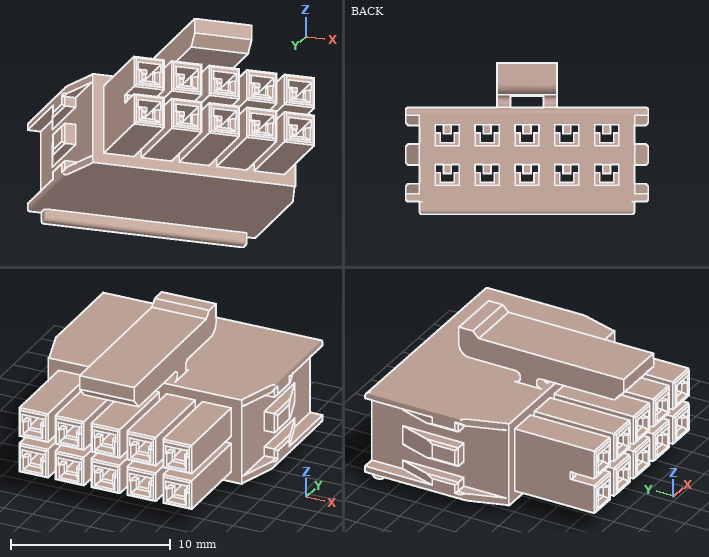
import cadquery as cq
import math


total_width = 15.2
total_length = 15.7
body_width = 13.47
body_length = 9.88
body_height = 5.9
body_front = -body_length
tip_y = -total_length
side_x = body_width / 2
outer_x = total_width / 2

flange_thickness = 0.5
flange_edge_radius = 0.15
back_edge_radius = 0.38
taper_start_y = -6.9
taper_end_y = -9.69
flange_notch_width = 0.1
flange_notch_height = 0.13

rib_root = 0.15
rib_back_y = -2.23
rib_ramp_end_y = -4.84
rib_front_y = -6.64
rib_chamfer = 0.15
middle_rib_height = 1.33
edge_rib_height = 1.13

lip_length = 0.78
lip_height = 0.8
lip_root = 0.31
lip_side_radius = 0.15
lip_bottom_radius = 0.28

columns = 5
rows = 2
pitch = 2.5
tower_size = 2.0
tower_chamfer = 0.11
web_width = 0.5
web_front_y = -13.97

cavity_roof = 0.38
chamber_width = 1.49
chamber_floor = 1.68
shoulder_height = 0.5
mouth_depth = 0.6
mouth_width = 0.86
mouth_floor = 1.49
funnel_depth = 0.25
lance_width = 0.5
lance_front_y = -14.45
lance_length = 3.14
lance_nose_drop = 0.25
lance_ledge = 0.15
lance_hollow_radius = 0.31
lance_hollow_angle = 25
lance_drop = 0.57

latch_width = 3.78
latch_leg_width = 0.86
latch_back_y = -3.53
latch_front_y = -15.4
latch_hook_height = 2.8
latch_beam_top = 2.37
latch_back_underside = 0.8
latch_front_underside = 0.7
latch_heel_radius = 0.75
hook_flat_end_y = -4.54
hook_slope_end_y = -4.96
nose_slope_start_y = -14.73
nose_corner_height = 1.41
leg_back_y = -7.96
leg_front_y = -9.12


def block(x_min, x_max, y_min, y_max, z_min, z_max):
    """Axis-aligned box given by its limits."""
    size = (x_max - x_min, y_max - y_min, z_max - z_min)
    return cq.Workplane("XY").box(*size, centered=False).translate((x_min, y_min, z_min))


def flange_plate(z_min):
    """Plate as wide as the part, tapering to the body width near its front."""
    return (
        cq.Workplane("XY").workplane(offset=z_min)
        .polyline([
            (-outer_x, 0), (outer_x, 0),
            (outer_x, taper_start_y), (side_x, taper_end_y),
            (-side_x, taper_end_y), (-outer_x, taper_start_y),
        ])
        .close()
        .extrude(flange_thickness)
    )


def side_rib(z_min, z_max):
    """Pair of wedges, one on each side, ramping up from the back."""
    right = (
        cq.Workplane("XY").workplane(offset=z_min)
        .polyline([
            (side_x - rib_root, rib_back_y), (side_x, rib_back_y), (outer_x, rib_ramp_end_y),
            (outer_x, rib_front_y), (side_x - rib_root, rib_front_y),
        ])
        .close()
        .extrude(z_max - z_min)
        .faces(">X").edges("|Y or <Y").chamfer(rib_chamfer)
    )
    return right.union(right.mirror("YZ"))


def flange_notch(under_z, edge_z):
    """Pair of cutters that bevel the inner edges of a flange ahead of the ribs."""
    right = (
        cq.Workplane("XZ", origin=(0, rib_front_y + rib_chamfer, 0))
        .polyline([(outer_x - flange_notch_width, under_z), (outer_x, under_z), (outer_x, edge_z)])
        .close()
        .extrude(body_length)
    )
    return right.union(right.mirror("YZ"))


def make_body():
    """Block with side flanges, rounded back top edge and three ribs per side."""
    bottom_flange = flange_plate(0).faces("<Z").edges("|Y").fillet(flange_edge_radius)
    top_flange = (
        flange_plate(body_height - flange_thickness)
        .faces(">Z").edges("|Y").fillet(flange_edge_radius)
    )
    bottom_inner = flange_thickness
    top_inner = body_height - flange_thickness
    bottom_flange = bottom_flange.cut(flange_notch(bottom_inner, bottom_inner - flange_notch_height))
    top_flange = top_flange.cut(flange_notch(top_inner, top_inner + flange_notch_height))

    shell = block(-side_x, side_x, body_front, 0, 0, body_height)
    shell = shell.union(bottom_flange).union(top_flange)
    back_corner = (
        cq.Workplane("YZ").workplane(offset=-outer_x)
        .moveTo(0, body_height)
        .lineTo(-back_edge_radius, body_height)
        .radiusArc((0, body_height - back_edge_radius), back_edge_radius)
        .close()
        .extrude(total_width)
    )
    shell = shell.cut(back_corner)

    middle = body_height / 2
    shell = shell.union(side_rib(middle - middle_rib_height / 2, middle + middle_rib_height / 2))
    shell = shell.union(side_rib(rib_chamfer, edge_rib_height))
    shell = shell.union(side_rib(body_height - edge_rib_height, body_height - rib_chamfer))
    return shell


def make_lip():
    """Rounded bar under the back edge, rooted inside the body."""
    lip = block(-side_x, side_x, -lip_length, 0, -lip_height, lip_root)
    lip = lip.faces("<Z").edges("|X").fillet(lip_bottom_radius)
    return lip.faces("<X or >X").edges().fillet(lip_side_radius)


def make_latch():
    """Lever on two legs; half-round throats shape the front and back of the legs."""
    top = body_height
    front_radius = latch_front_underside / 2
    back_radius = latch_back_underside / 2
    lever = (
        cq.Workplane("YZ").workplane(offset=-latch_width / 2)
        .moveTo(latch_back_y, top + latch_hook_height)
        .lineTo(hook_flat_end_y, top + latch_hook_height)
        .lineTo(hook_slope_end_y, top + latch_beam_top)
        .lineTo(latch_front_y, top + latch_beam_top)
        .lineTo(latch_front_y, top + nose_corner_height)
        .lineTo(nose_slope_start_y, top + latch_front_underside)
        .lineTo(leg_front_y - front_radius, top + latch_front_underside)
        .threePointArc((leg_front_y, top + front_radius), (leg_front_y - front_radius, top))
        .lineTo(leg_back_y + back_radius, top)
        .threePointArc(
            (leg_back_y, top + back_radius), (leg_back_y + back_radius, top + latch_back_underside)
        )
        .lineTo(latch_back_y - latch_heel_radius, top + latch_back_underside)
        .radiusArc((latch_back_y, top + latch_back_underside + latch_heel_radius), -latch_heel_radius)
        .close()
        .extrude(latch_width)
    )
    gap_x = latch_width / 2 - latch_leg_width
    gap = block(-gap_x, gap_x, body_front, 0, top, top + latch_front_underside)
    return lever.cut(gap)


def make_tower(x, z):
    """Square tower centred on (x, z), bevelled around its tip."""
    half = tower_size / 2
    tower = block(x - half, x + half, tip_y, body_front, z - half, z + half)
    return tower.faces("<Y").chamfer(tower_chamfer)


def make_lance(x, roof_z):
    """Locking lance under the cavity roof: a nose, then a lower face blended by a shallow hollow."""
    nose_z = roof_z - lance_nose_drop
    hollow_sweep = math.radians(lance_hollow_angle)
    hollow_height = lance_hollow_radius * math.sin(hollow_sweep)
    hollow_depth = lance_hollow_radius * (1 - math.cos(hollow_sweep))
    ledge_y = lance_front_y + lance_ledge
    lower_face_y = ledge_y + hollow_depth
    lance_back_y = lance_front_y + lance_length
    return (
        cq.Workplane("YZ").workplane(offset=x - lance_width / 2)
        .moveTo(lance_front_y, roof_z)
        .lineTo(lance_front_y, nose_z)
        .lineTo(ledge_y, nose_z)
        .radiusArc((lower_face_y, nose_z - hollow_height), lance_hollow_radius)
        .lineTo(lower_face_y, roof_z - lance_drop)
        .lineTo(lance_back_y, roof_z - lance_drop)
        .lineTo(lance_back_y, roof_z)
        .close()
        .extrude(lance_width)
    )


def make_cavity(x, z):
    """Contact chamber open at the back, with a T-shaped funnel mouth at the tower tip."""
    top_z = z + tower_size / 2
    roof_z = top_z - cavity_roof
    shoulder_z = roof_z - shoulder_height
    floor_z = top_z - mouth_floor
    mouth_end_y = tip_y + mouth_depth
    half_chamber = chamber_width / 2
    half_mouth = mouth_width / 2

    chamber = block(x - half_chamber, x + half_chamber, mouth_end_y, 0, top_z - chamber_floor, roof_z)
    shoulder = block(x - half_chamber, x + half_chamber, tip_y, mouth_end_y, shoulder_z, roof_z)
    mouth = block(x - half_mouth, x + half_mouth, tip_y, mouth_end_y, floor_z, roof_z)

    mouth_height = shoulder_z - floor_z
    funnel = (
        cq.Workplane("XZ", origin=(x, tip_y, shoulder_z))
        .rect(mouth_width + 2 * funnel_depth, 2 * (mouth_height + funnel_depth))
        .workplane(offset=-funnel_depth)
        .rect(mouth_width, 2 * mouth_height)
        .loft(ruled=True)
    )
    upper_half = block(
        x - tower_size, x + tower_size, tip_y, mouth_end_y, shoulder_z, shoulder_z + tower_size
    )
    funnel = funnel.cut(upper_half)
    return chamber.union(shoulder).union(mouth).union(funnel).cut(make_lance(x, roof_z))


def make_web():
    """Thin wall joining the two towers of the first column."""
    outer_wall_x = -(columns - 1) / 2 * pitch - tower_size / 2
    web = block(
        outer_wall_x, outer_wall_x + web_width, web_front_y, body_front,
        body_height / 2 - pitch / 2, body_height / 2 + pitch / 2,
    )
    return web.faces("<Y").edges("<X").chamfer(tower_chamfer)


tower_centers = [
    ((column - (columns - 1) / 2) * pitch, body_height / 2 + (row - (rows - 1) / 2) * pitch)
    for column in range(columns)
    for row in range(rows)
]

result = make_body().union(make_lip()).union(make_latch()).union(make_web())
for center_x, center_z in tower_centers:
    result = result.union(make_tower(center_x, center_z))
for center_x, center_z in tower_centers:
    result = result.cut(make_cavity(center_x, center_z))